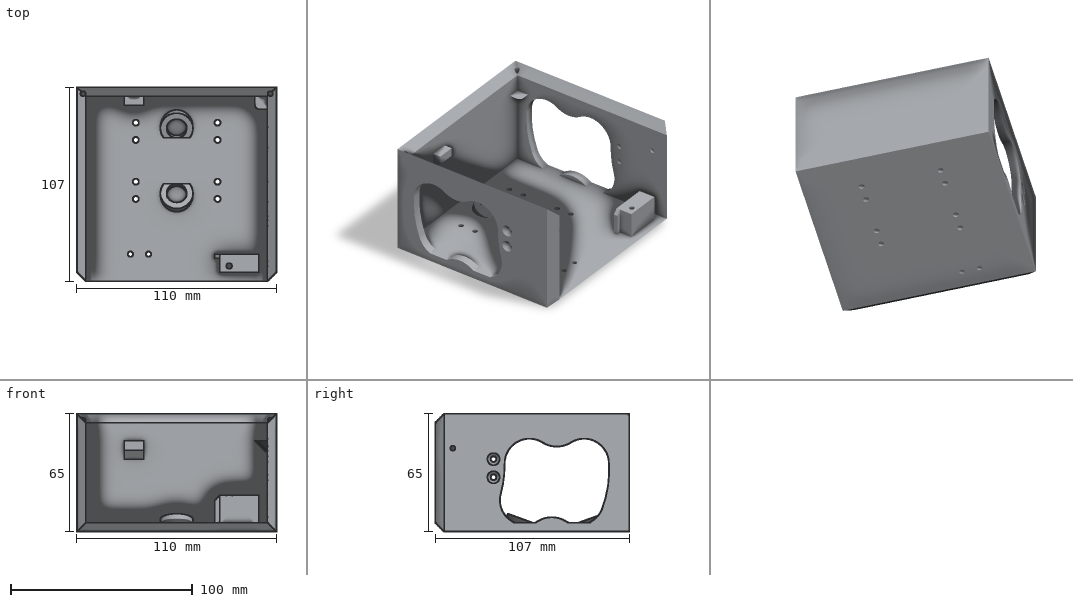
import cadquery as cq
import math

WIDTH = 110.0
DEPTH = 107.0
HEIGHT = 65.0
WALL = 5.0
INNER_HALF_WIDTH = WIDTH / 2 - WALL
INNER_BACK_Y = DEPTH - WALL

EMBED_DEPTH = WALL / 2

CORNER_HOLE_X = 51.6
CORNER_HOLE_Y = 103.4
CORNER_HOLE_DIAMETER = 2.8
CORNER_HOLE_BOTTOM_Z = 55.0

LOBE_RADIUS = 13.6
LOBE_FRONT_TOP = (52.0, 37.6)
LOBE_REAR_TOP = (82.1, 37.6)
LOBE_REAR_BOTTOM = (79.2, 17.4)
LOBE_FRONT_BOTTOM = (49.4, 17.4)
WAIST_RADIUS = 14.6
FLANK_RADIUS = 60.0

SIDE_HOLE_DIAMETER = 3.0
SIDE_HOLE_Y = 32.2
SIDE_HOLE_HEIGHTS = (30.0, 40.0)
COUNTERSINK_DIAMETER = 6.7
SINGLE_HOLE_DIAMETER = 2.7
SINGLE_HOLE_Y = 9.8
SINGLE_HOLE_Z = 46.0

FLOOR_HOLE_DIAMETER = 3.2
FLOOR_HOLE_SPAN_X = 45.0
FLOOR_HOLE_ROWS = (45.4, 54.9, 77.9, 87.4)
FRONT_HOLE_DIAMETER = 2.8
FRONT_HOLE_XS = (-25.5, -15.5)
FRONT_HOLE_Y = 15.0

SOCKET_DIAMETER = 18.0
SOCKET_BORE_DIAMETER = 11.0
SOCKET_BORE_DEPTH = 4.0
SOCKET_TILT = 20.0
SOCKET_MID_Y = 66.4
SOCKET_FACE_SPACING = 35.6
SOCKET_FACE_Z = 6.85
SOCKET_LENGTH = 9.0

SUPPORT_Z = 50.0
LEDGE_LEFT_X = -28.75
LEDGE_WIDTH = 10.6
LEDGE_REACH = 5.0
LEDGE_FACE_HEIGHT = 5.0
GUSSET_WIDTH = 6.9
GUSSET_REACH = 7.2
GUSSET_CORNER_RADIUS = 2.5

BLOCK_WIDTH = 21.4
BLOCK_DEPTH = 10.0
BLOCK_HEIGHT = 15.0
BLOCK_LEFT_X = 23.7
BLOCK_FRONT_Y = 5.0
BLOCK_HOLE_X = 28.9
BLOCK_HOLE_Y = 8.5
BLOCK_HOLE_DIAMETER = 3.2
BLOCK_HOLE_DEPTH = 10.0
KEY_WIDTH = 2.7
KEY_DEPTH = 2.4


def box_between(low, high):
    """Axis-aligned box from its lowest corner to its highest corner."""
    size = [b - a for a, b in zip(low, high)]
    return cq.Workplane("XY").box(*size, centered=False).translate(low)


def cylinder(base, direction, diameter, length):
    """Cylinder starting at a base point and running along a direction."""
    solid = cq.Solid.makeCylinder(diameter / 2, length, cq.Vector(*base), cq.Vector(*direction))
    return cq.Workplane("XY").add(solid)


def make_shell():
    """Tray with a 45 degree mitre around the front opening and around the top opening."""
    body = box_between((-WIDTH / 2, 0, 0), (WIDTH / 2, DEPTH, HEIGHT))
    body = body.faces("<Y").edges().chamfer(WALL)
    cavity = box_between(
        (-INNER_HALF_WIDTH, -WALL, WALL), (INNER_HALF_WIDTH, INNER_BACK_Y, HEIGHT)
    )
    flare = (
        cq.Workplane("XY", origin=(0, 0, HEIGHT - WALL))
        .rect(2 * INNER_HALF_WIDTH, 2 * INNER_BACK_Y)
        .workplane(offset=WALL)
        .rect(WIDTH, 2 * DEPTH)
        .loft(ruled=True)
    )
    return body.cut(cavity).cut(flare)


def blend_center(first, second, center_distance, side):
    """Point equally far from two lobe centres, to the left (+1) or right (-1) of their line."""
    dy = second[0] - first[0]
    dz = second[1] - first[1]
    gap = math.hypot(dy, dz)
    offset = side * math.sqrt(center_distance**2 - (gap / 2) ** 2)
    mid_y = (first[0] + second[0]) / 2
    mid_z = (first[1] + second[1]) / 2
    return (mid_y - offset * dz / gap, mid_z + offset * dy / gap)


def toward(center, target, distance):
    """Point at a distance from a centre in the direction of a target."""
    dy = target[0] - center[0]
    dz = target[1] - center[1]
    scale = distance / math.hypot(dy, dz)
    return (center[0] + dy * scale, center[1] + dz * scale)


def make_side_opening():
    """Lobed cutter through both side walls, stopping level with the floor."""
    lobes = (LOBE_FRONT_TOP, LOBE_REAR_TOP, LOBE_REAR_BOTTOM, LOBE_FRONT_BOTTOM)
    waist_reach = WAIST_RADIUS + LOBE_RADIUS
    front_reach = FLANK_RADIUS + LOBE_RADIUS
    rear_reach = FLANK_RADIUS - LOBE_RADIUS

    top = blend_center(lobes[0], lobes[1], waist_reach, 1)
    rear = blend_center(lobes[1], lobes[2], rear_reach, -1)
    bottom = blend_center(lobes[2], lobes[3], waist_reach, 1)
    front = blend_center(lobes[3], lobes[0], front_reach, 1)
    blends = (
        (top, WAIST_RADIUS, LOBE_RADIUS),
        (rear, FLANK_RADIUS, -LOBE_RADIUS),
        (bottom, WAIST_RADIUS, LOBE_RADIUS),
        (front, FLANK_RADIUS, LOBE_RADIUS),
    )
    middle = (
        sum(lobe[0] for lobe in lobes) / len(lobes),
        sum(lobe[1] for lobe in lobes) / len(lobes),
    )

    outline = cq.Workplane("YZ", origin=(-WIDTH / 2, 0, 0))
    outline = outline.moveTo(*toward(lobes[0], front, LOBE_RADIUS))
    for index, lobe in enumerate(lobes):
        center, radius, touch = blends[index]
        next_lobe = lobes[(index + 1) % len(lobes)]
        chord_middle = ((lobe[0] + next_lobe[0]) / 2, (lobe[1] + next_lobe[1]) / 2)
        outline = outline.threePointArc(
            toward(lobe, middle, -LOBE_RADIUS), toward(lobe, center, touch)
        )
        outline = outline.threePointArc(
            toward(center, chord_middle, radius), toward(next_lobe, center, touch)
        )
    cutter = outline.close().extrude(WIDTH)
    above_floor = box_between((-WIDTH / 2, 0, WALL), (WIDTH / 2, DEPTH, HEIGHT))
    return cutter.intersect(above_floor)


def cut_side_holes(body):
    """Countersunk hole pairs in both side walls and one plain hole in the right wall."""
    sink_depth = (COUNTERSINK_DIAMETER - SIDE_HOLE_DIAMETER) / 2
    for z in SIDE_HOLE_HEIGHTS:
        for side in (-1, 1):
            outer_point = (side * WIDTH / 2, SIDE_HOLE_Y, z)
            inward = (-side, 0, 0)
            sink = cq.Solid.makeCone(
                COUNTERSINK_DIAMETER / 2, SIDE_HOLE_DIAMETER / 2, sink_depth,
                cq.Vector(*outer_point), cq.Vector(*inward),
            )
            body = body.cut(cylinder(outer_point, inward, SIDE_HOLE_DIAMETER, WALL))
            body = body.cut(cq.Workplane("XY").add(sink))
    single_point = (INNER_HALF_WIDTH, SINGLE_HOLE_Y, SINGLE_HOLE_Z)
    return body.cut(cylinder(single_point, (1, 0, 0), SINGLE_HOLE_DIAMETER, WALL))


def cut_floor_holes(body):
    """Four rows of paired holes and one pair near the front, all through the floor."""
    for y in FLOOR_HOLE_ROWS:
        for x in (-FLOOR_HOLE_SPAN_X / 2, FLOOR_HOLE_SPAN_X / 2):
            body = body.cut(cylinder((x, y, 0), (0, 0, 1), FLOOR_HOLE_DIAMETER, WALL))
    for x in FRONT_HOLE_XS:
        body = body.cut(cylinder((x, FRONT_HOLE_Y, 0), (0, 0, 1), FRONT_HOLE_DIAMETER, WALL))
    return body


def cut_corner_holes(body):
    """Blind vertical holes in the rear corners of the top rim."""
    depth = HEIGHT - CORNER_HOLE_BOTTOM_Z
    for x in (-CORNER_HOLE_X, CORNER_HOLE_X):
        base = (x, CORNER_HOLE_Y, CORNER_HOLE_BOTTOM_Z)
        body = body.cut(cylinder(base, (0, 0, 1), CORNER_HOLE_DIAMETER, depth))
    return body


def add_sockets(body):
    """Tilted round sockets: each face leans towards the other and sinks into the floor."""
    tilt = math.radians(SOCKET_TILT)
    above_embedding = box_between((-WIDTH / 2, 0, WALL - EMBED_DEPTH), (WIDTH / 2, DEPTH, HEIGHT))
    for side in (-1, 1):
        face_center = (0, SOCKET_MID_Y + side * SOCKET_FACE_SPACING / 2, SOCKET_FACE_Z)
        into_floor = (0, side * math.sin(tilt), -math.cos(tilt))
        post = cylinder(face_center, into_floor, SOCKET_DIAMETER, SOCKET_LENGTH)
        body = body.union(post.intersect(above_embedding))
        body = body.cut(cylinder(face_center, into_floor, SOCKET_BORE_DIAMETER, SOCKET_BORE_DEPTH))
    return body


def make_ledge():
    """Small ledge on the rear wall with a sloping underside."""
    front_y = INNER_BACK_Y - LEDGE_REACH
    face_bottom_z = SUPPORT_Z - LEDGE_FACE_HEIGHT
    return (
        cq.Workplane("YZ", origin=(LEDGE_LEFT_X, 0, 0))
        .moveTo(INNER_BACK_Y, SUPPORT_Z)
        .lineTo(front_y, SUPPORT_Z)
        .lineTo(front_y, face_bottom_z)
        .lineTo(INNER_BACK_Y, face_bottom_z - LEDGE_REACH)
        .close()
        .extrude(LEDGE_WIDTH)
    )


def make_gusset():
    """Rounded corner plate whose underside slopes at 45 degrees into the rear right corner."""
    left_x = INNER_HALF_WIDTH - GUSSET_WIDTH
    front_y = INNER_BACK_Y - GUSSET_REACH
    right_x = INNER_HALF_WIDTH + EMBED_DEPTH
    back_y = INNER_BACK_Y + EMBED_DEPTH
    plan = box_between((left_x, front_y, SUPPORT_Z), (WIDTH, DEPTH, HEIGHT))
    plan = plan.edges("|Z and <X and <Y").fillet(GUSSET_CORNER_RADIUS)
    outline = plan.faces("<Z").val().outerWire()
    slope = cq.Vector(GUSSET_REACH, GUSSET_REACH, -GUSSET_REACH)
    wedge = cq.Workplane("XY").add(cq.Solid.extrudeLinear(outline, [], slope))
    corner = box_between((left_x, front_y, 0), (right_x, back_y, SUPPORT_Z))
    return wedge.intersect(corner)


def make_block():
    """Mounting block with a screw hole and a chamfered key on its left side."""
    right_x = BLOCK_LEFT_X + BLOCK_WIDTH
    back_y = BLOCK_FRONT_Y + BLOCK_DEPTH
    top_z = WALL + BLOCK_HEIGHT
    block = box_between((BLOCK_LEFT_X, BLOCK_FRONT_Y, WALL), (right_x, back_y, top_z))
    key = box_between((BLOCK_LEFT_X - KEY_WIDTH, back_y - KEY_DEPTH, WALL), (right_x, back_y, top_z))
    key = key.faces("<X").edges(">Z").chamfer(KEY_WIDTH)
    hole_base = (BLOCK_HOLE_X, BLOCK_HOLE_Y, top_z - BLOCK_HOLE_DEPTH)
    hole = cylinder(hole_base, (0, 0, 1), BLOCK_HOLE_DIAMETER, BLOCK_HOLE_DEPTH)
    return block.union(key).cut(hole)


body = make_shell().cut(make_side_opening())
body = cut_side_holes(body)
body = cut_floor_holes(body)
body = cut_corner_holes(body)
body = add_sockets(body)
body = body.union(make_ledge())
body = body.union(make_gusset())
result = body.union(make_block())